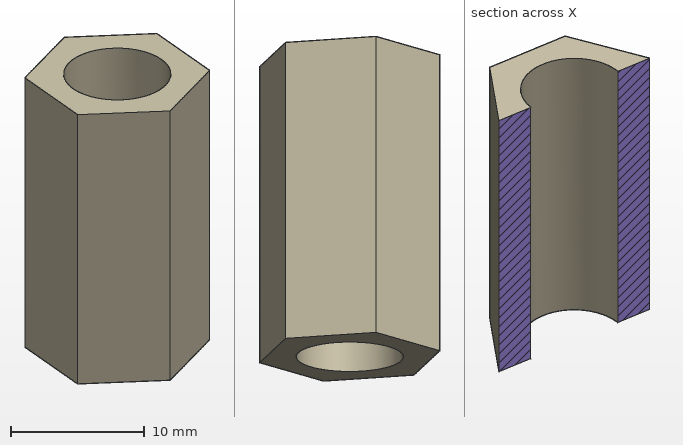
import cadquery as cq
import math

length = 23.0
across_flats = 12.0
bore_diameter = 8.0

across_corners = across_flats / math.cos(math.pi / 6)
corner_on_y_angle = 90.0

body = (
    cq.Workplane("XY")
    .polygon(6, across_corners)
    .extrude(length)
    .rotate((0, 0, 0), (0, 0, 1), corner_on_y_angle)
)

result = body.faces(">Z").workplane().hole(bore_diameter)